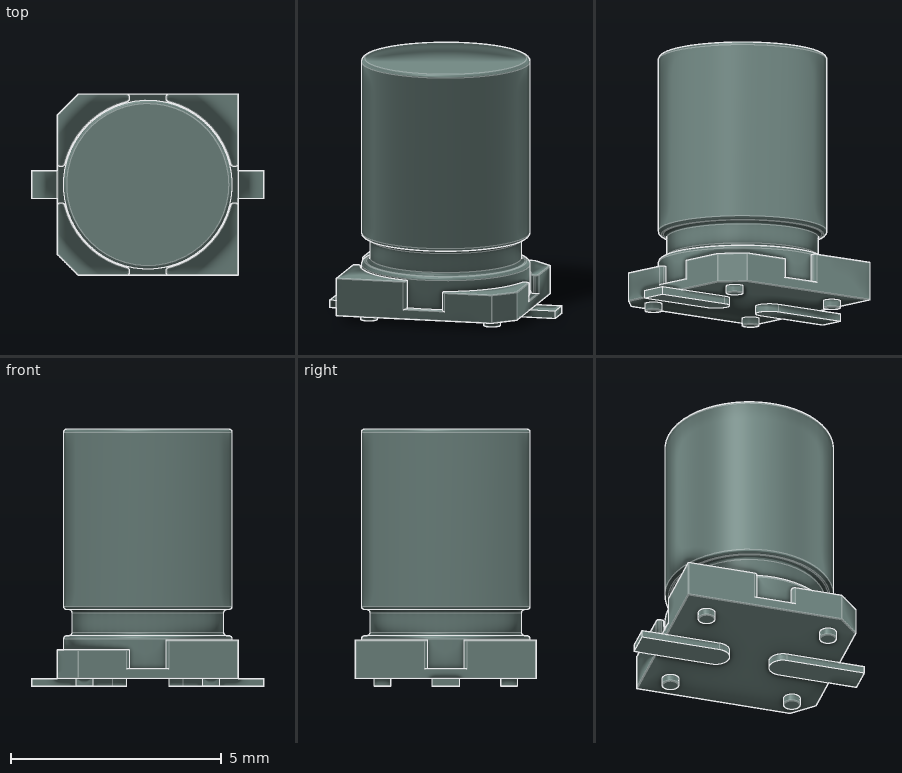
import cadquery as cq

lead_thickness = 0.18
slot_floor_z = 0.43
low_corner_z = 0.87
high_corner_z = 1.1
groove_bottom_z = 1.2
groove_top_z = 1.82
total_height = 6.1

can_radius = 2.0
groove_radius = 1.8
can_fillet = 0.08

base_size = 4.3
corner_chamfer = 0.5
edge_fillet = 0.02
bore_radius = 2.025
slot_width = 0.865
wall_end_fillet = 0.075

lead_span = 5.5
lead_width = 0.66
lead_gap = 1.0
foot_diameter = 0.4
foot_spacing = 3.0
foot_fillet = 0.02


def make_block(z_min, z_max):
    """Square block with the two -X corners cut off and its upright edges eased."""
    block = cq.Workplane().workplane(offset=z_min).rect(base_size, base_size).extrude(z_max - z_min)
    block = block.edges("|Z and <X").chamfer(corner_chamfer)
    return block.edges("|Z").fillet(edge_fillet)


def make_floor():
    """Slab under the can that also forms the floor of the four slots."""
    return make_block(lead_thickness, slot_floor_z).faces("<Z or >Z").edges().fillet(edge_fillet)


def make_corner_wall(x_side, y_side):
    """One raised corner of the base, hollowed for the can, with rounded ends beside the slots."""
    top_z = high_corner_z if x_side > 0 else low_corner_z
    bottom_z = slot_floor_z - edge_fillet
    quadrant_center = (slot_width + base_size) / 2
    quadrant = (
        cq.Workplane()
        .center(x_side * quadrant_center, y_side * quadrant_center)
        .rect(base_size, base_size)
        .extrude(top_z)
    )
    bore = cq.Workplane().circle(bore_radius).extrude(top_z)
    wall = make_block(bottom_z, top_z).intersect(quadrant).cut(bore)

    x_end = "<X" if x_side > 0 else ">X"
    y_end = "<Y" if y_side > 0 else ">Y"
    wall = wall.edges(f"|Z and ({x_end} or {y_end})").fillet(wall_end_fillet)
    return wall.faces(">Z").edges().fillet(edge_fillet)


def make_can():
    """Turned can with a rounded crimp groove near its lower end."""
    profile = (
        cq.Workplane("XZ")
        .moveTo(0, lead_thickness)
        .lineTo(can_radius, lead_thickness)
        .lineTo(can_radius, groove_bottom_z)
        .lineTo(groove_radius, groove_bottom_z)
        .lineTo(groove_radius, groove_top_z)
        .lineTo(can_radius, groove_top_z)
        .lineTo(can_radius, total_height)
        .lineTo(0, total_height)
        .close()
    )
    can = profile.revolve(360, (0, 0), (0, 1))
    return can.edges("%CIRCLE and (not <Z)").fillet(can_fillet)


def make_lead(side):
    """Flat terminal with a square outer end and a full-round inner end."""
    round_center = side * (lead_gap + lead_width) / 2
    outer_end = side * lead_span / 2
    half_width = lead_width / 2
    return (
        cq.Workplane()
        .moveTo(outer_end, -half_width)
        .lineTo(round_center, -half_width)
        .threePointArc((side * lead_gap / 2, 0), (round_center, half_width))
        .lineTo(outer_end, half_width)
        .close()
        .extrude(lead_thickness)
    )


def make_feet():
    """Four round standoffs under the base."""
    feet = (
        cq.Workplane()
        .rect(foot_spacing, foot_spacing, forConstruction=True)
        .vertices()
        .circle(foot_diameter / 2)
        .extrude(lead_thickness)
    )
    return feet.faces("<Z").edges().fillet(foot_fillet)


result = make_floor().union(make_can()).union(make_feet())
for x_side in (-1, 1):
    for y_side in (-1, 1):
        result = result.union(make_corner_wall(x_side, y_side))
    result = result.union(make_lead(x_side))